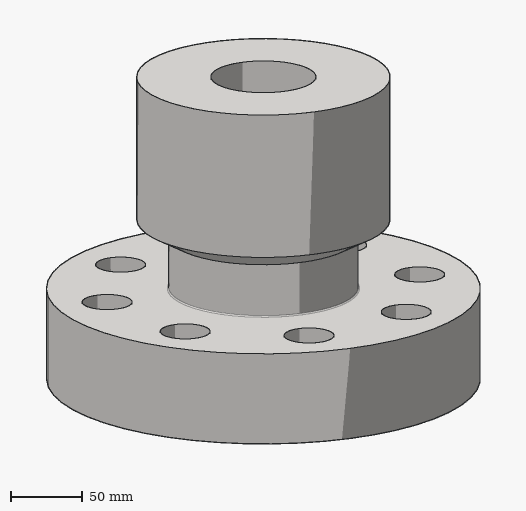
import cadquery as cq

flange_diameter = 304.7
flange_thickness = 66.5

neck_diameter = 133.2
neck_top = 104.8
neck_fillet = 1.0

hub_diameter = 178.0
hub_bottom = 117.3
total_height = 222.0

bore_diameter = 73.7
bolt_hole_diameter = 35.0
bolt_circle_diameter = 228.5
bolt_hole_count = 8


def turned_body():
    """Flange, neck, shoulder and hub with the bore, as one profile revolved about Z."""
    bore_radius = bore_diameter / 2
    flange_radius = flange_diameter / 2
    neck_radius = neck_diameter / 2
    hub_radius = hub_diameter / 2
    profile = (
        cq.Workplane("XZ")
        .moveTo(bore_radius, 0)
        .lineTo(flange_radius, 0)
        .lineTo(flange_radius, flange_thickness)
        .lineTo(neck_radius + neck_fillet, flange_thickness)
        .radiusArc((neck_radius, flange_thickness + neck_fillet), neck_fillet)
        .lineTo(neck_radius, neck_top)
        .lineTo(hub_radius, hub_bottom)
        .lineTo(hub_radius, total_height)
        .lineTo(bore_radius, total_height)
        .close()
    )
    return profile.revolve(360, (0, 0), (0, 1))


def bolt_holes():
    """Cutters for the ring of bolt holes, the first one on the +X axis."""
    return (
        cq.Workplane("XY")
        .polarArray(bolt_circle_diameter / 2, 0, 360, bolt_hole_count)
        .circle(bolt_hole_diameter / 2)
        .extrude(flange_thickness)
    )


result = turned_body().cut(bolt_holes())